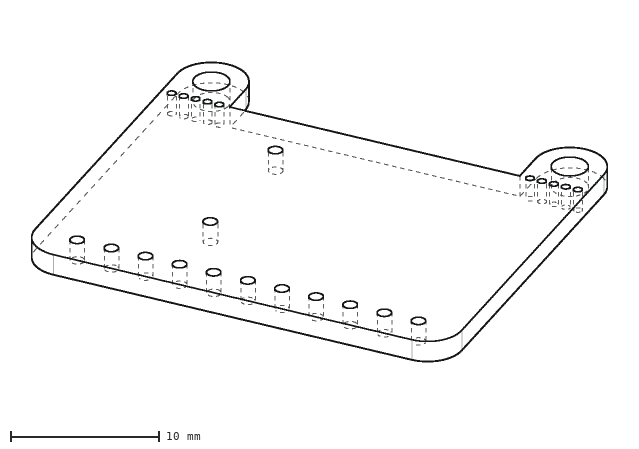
import cadquery as cq

length = 31.75
depth = 27.8
thickness = 1.6
corner_radius = 2.55
tab_width = 2 * corner_radius
tab_height = 5.08
body_depth = depth - tab_height

mount_hole_diameter = 2.5
tab_centers_x = (tab_width / 2, length - tab_width / 2)
mount_hole_y = depth - tab_width / 2

perforation_diameter = 0.6
perforation_pitch = 0.9
perforation_count = 5

pin_hole_diameter = 1.0
pin_pitch = 2.55
pin_count = 11
pin_row_y = 2.45

pair_x = 10.3
pair_front_y = 8.45
pair_spacing = 10.4


def row(center_x, y, pitch, count):
    """Points evenly spaced along X, centered on center_x."""
    first_x = center_x - pitch * (count - 1) / 2
    return [(first_x + i * pitch, y) for i in range(count)]


def drill(diameter, points):
    """Cylinders through the full thickness at the given points."""
    return cq.Workplane("XY").pushPoints(points).circle(diameter / 2).extrude(thickness)


board = (
    cq.Workplane("XY")
    .rect(length, body_depth, centered=False)
    .extrude(thickness)
    .edges("|Z and <Y")
    .fillet(corner_radius)
)

for tab_x in tab_centers_x:
    neck = (
        cq.Workplane("XY")
        .center(tab_x, (body_depth + mount_hole_y) / 2)
        .rect(tab_width, mount_hole_y - body_depth)
        .extrude(thickness)
    )
    board = board.union(neck).union(drill(tab_width, [(tab_x, mount_hole_y)]))

for tab_x in tab_centers_x:
    board = board.cut(drill(mount_hole_diameter, [(tab_x, mount_hole_y)]))
    perforations = row(tab_x, body_depth, perforation_pitch, perforation_count)
    board = board.cut(drill(perforation_diameter, perforations))

pin_holes = row(length / 2, pin_row_y, pin_pitch, pin_count)
pair_holes = [(pair_x, pair_front_y), (pair_x, pair_front_y + pair_spacing)]
board = board.cut(drill(pin_hole_diameter, pin_holes + pair_holes))

result = board.clean()